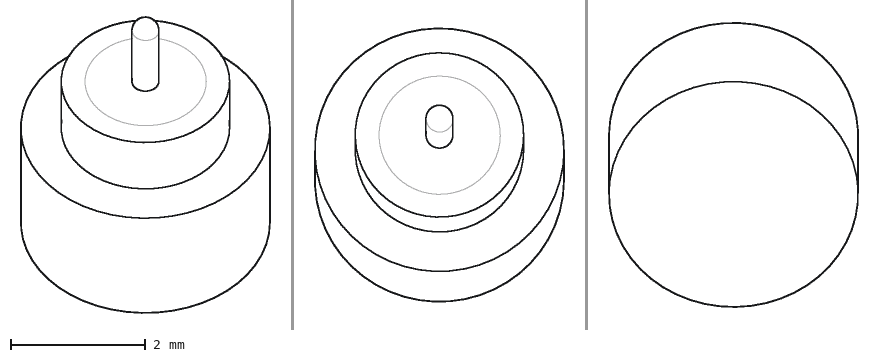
import cadquery as cq
import math

total_height = 4.35
body_diameter = 3.7
body_height = 2.05

collar_diameter = 2.5
collar_height = 1.0
insert_diameter = 1.8

pin_diameter = 0.4

body_radius = body_diameter / 2
collar_radius = collar_diameter / 2
insert_radius = insert_diameter / 2
pin_radius = pin_diameter / 2

collar_top = body_height + collar_height
nose_start = total_height - pin_radius
nose_mid_offset = pin_radius * math.sqrt(0.5)

half_section = (
    cq.Workplane("XZ")
    .moveTo(0, 0)
    .lineTo(body_radius, 0)
    .lineTo(body_radius, body_height)
    .lineTo(collar_radius, body_height)
    .lineTo(collar_radius, collar_top)
    .lineTo(insert_radius, collar_top)
    .lineTo(pin_radius, collar_top)
    .lineTo(pin_radius, nose_start)
    .threePointArc((nose_mid_offset, nose_start + nose_mid_offset), (0, total_height))
    .close()
)

result = half_section.revolve(360, (0, 0, 0), (0, 1, 0), clean=False)